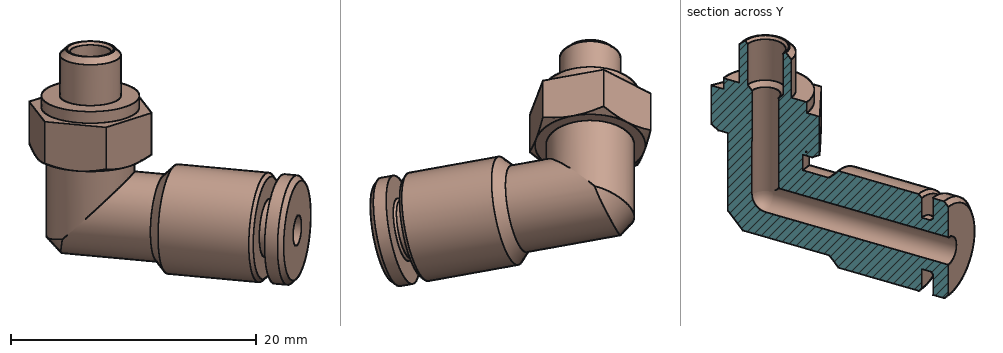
import cadquery as cq
import math


hex_across_flats = 9.0
hex_across_corners = hex_across_flats / math.cos(math.radians(30))
hex_bottom = 5.0
hex_height = 4.0
hex_chamfer_angle = 30
flange_diameter = 8.0
flange_height = 1.0
thread_diameter = 5.0
thread_tip_diameter = 4.0
thread_height = 4.02
thread_chamfer = (thread_diameter - thread_tip_diameter) / 2

elbow_diameter = 7.2
corner_reach = 4.06
corner_radius = 3.7

overall_length = 22.7
collar_end = overall_length - hex_across_corners / 2
collar_length = 1.5
collar_chamfer = 0.4
collar_start = collar_end - collar_length
gap_width = 1.05
socket_diameter = 9.0
socket_length = 8.88
socket_end = collar_start - gap_width
socket_start = socket_end - socket_length
socket_rear_chamfer = (socket_diameter - elbow_diameter) / 2
socket_front_chamfer = 0.3
neck_diameter = 4.8
flare_size = 0.2

bore_diameter = 2.5
entry_diameter = 3.34
mouth_diameter = 3.8
entry_depth = 4.0

hex_top = hex_bottom + hex_height
flange_top = hex_top + flange_height
thread_top = flange_top + thread_height


def rod_z(diameter, bottom, top):
    return cq.Workplane("XY").workplane(offset=bottom).circle(diameter / 2).extrude(top - bottom)


def rod_x(diameter, start, end):
    return cq.Workplane("YZ").workplane(offset=start).circle(diameter / 2).extrude(end - start)


def cone_along(plane, start_diameter, end_diameter, start):
    """45 degree cone that widens along the normal of the plane."""
    length = (end_diameter - start_diameter) / 2
    return (
        cq.Workplane(plane).workplane(offset=start).circle(start_diameter / 2)
        .workplane(offset=length).circle(end_diameter / 2).loft(ruled=True)
    )


def make_nut():
    """Hexagon whose lower corners are turned down by a shallow cone."""
    blank = (
        cq.Workplane("XY").workplane(offset=hex_bottom)
        .polygon(6, hex_across_corners).extrude(hex_height)
    )
    corner_overhang = (hex_across_corners - hex_across_flats) / 2
    rise = corner_overhang * math.tan(math.radians(hex_chamfer_angle))
    turned = (
        rod_z(hex_across_corners, hex_bottom, hex_top)
        .faces("<Z").chamfer(rise, corner_overhang)
    )
    return blank.intersect(turned)


def make_threaded_end():
    flange = rod_z(flange_diameter, hex_top, flange_top)
    thread = rod_z(thread_diameter, flange_top, thread_top).faces(">Z").chamfer(thread_chamfer)
    return flange.union(thread)


def make_elbow():
    """Mitred round legs with the outer corner trimmed by a diagonal cylinder."""
    centerline = cq.Workplane("XZ").polyline([(0, hex_top), (0, 0), (socket_end, 0)])
    legs = (
        cq.Workplane("XY").workplane(offset=hex_top)
        .circle(elbow_diameter / 2).sweep(centerline, transition="right")
    )

    axis_reach = corner_reach - corner_radius
    trim_length = 2 * overall_length
    across = cq.Plane(origin=(0, 0, 0), xDir=(1, 0, 1), normal=(1, 0, -1))
    keep_round = (
        cq.Workplane(across).center(-axis_reach, 0)
        .circle(corner_radius).extrude(trim_length / 2, both=True)
    )
    keep_inner = (
        cq.Workplane(across).center(trim_length / 2 - axis_reach, 0)
        .rect(trim_length, trim_length).extrude(trim_length / 2, both=True)
    )
    return legs.intersect(keep_round.union(keep_inner))


def make_socket():
    barrel = (
        rod_x(socket_diameter, socket_start, socket_end)
        .faces("<X").chamfer(socket_rear_chamfer)
        .faces(">X").chamfer(socket_front_chamfer)
    )
    neck = rod_x(neck_diameter, socket_end, collar_start)
    flare = cone_along("YZ", neck_diameter, neck_diameter + 2 * flare_size, collar_start - flare_size)
    collar = rod_x(socket_diameter, collar_start, collar_end).faces(">X").chamfer(collar_chamfer)
    return barrel.union(neck).union(flare).union(collar)


def make_passage():
    """Bore from the thread to the collar, with a spherical blind end at the bend."""
    bore = (
        rod_z(bore_diameter, 0, thread_top)
        .union(rod_x(bore_diameter, 0, collar_end))
        .union(cq.Workplane("XY").sphere(bore_diameter / 2))
    )
    mouth_depth = (mouth_diameter - entry_diameter) / 2
    drill_tip_depth = (entry_diameter - bore_diameter) / 2
    entry_bottom = thread_top - entry_depth
    entry = rod_z(entry_diameter, entry_bottom, thread_top)
    drill_tip = cone_along("XY", bore_diameter, entry_diameter, entry_bottom - drill_tip_depth)
    mouth = cone_along("XY", entry_diameter, mouth_diameter, thread_top - mouth_depth)
    return bore.union(entry).union(drill_tip).union(mouth)


body = make_nut().union(make_threaded_end()).union(make_elbow()).union(make_socket())
result = body.cut(make_passage())